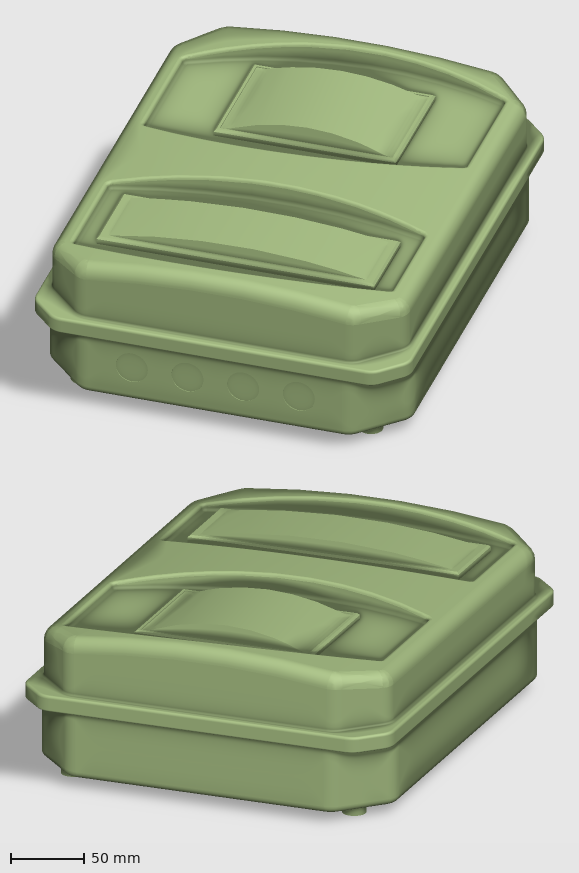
import cadquery as cq
import math

FOOT_HEIGHT = 6.0
PARTING_Z = 57.3
FLANGE_BOTTOM_Z = 54.6
FLANGE_TOP_Z = 66.0
CROWN_Z = 112.8
POCKET_FLOOR_Z = 98.6

FLANGE_OUTLINE = (271.0, 344.0, 20.6)
BASE_OUTLINE = (262.0, 332.6, 34.0)
LID_OUTLINE = (256.5, 329.6, 29.5)
OUTLINE_CORNER_RADIUS = 14.0

BASE_BOTTOM_RADIUS = 5.0
BASE_FLANGE_RADIUS = 1.2
LID_FLANGE_RADIUS = 2.0
WALL_FOOT_RADIUS = 1.5
LID_SHOULDER_RADIUS = 10.0
CROWN_RADIUS = 700.0

FOOT_DIAMETER = 17.0
FOOT_X = 103.5
FOOT_Y = 140.0

KNOCKOUT_DIAMETER = 23.0
KNOCKOUT_PITCH = 40.0
KNOCKOUT_COUNT = 4
KNOCKOUT_Z = 32.7
KNOCKOUT_DEPTH = 0.5

POCKET_LIP_RADIUS = 2.4
POCKET_FLOOR_RADIUS = 2.5
POCKET_CORNER_RADIUS = 4.0
POCKET_LIP_HALF_WIDTH = 115.7
POCKET_HALF_WIDTH = POCKET_LIP_HALF_WIDTH - POCKET_LIP_RADIUS
METER_Y = 78.5
METER_ARC_OFFSET_X = 17.0
METER_LIP_REACH = 73.0
METER_ARC_REACH = METER_LIP_REACH - POCKET_LIP_RADIUS
METER_ARC_RADIUS = 268.0
BREAKER_LIP_TOP_Y = -30.9
BREAKER_TOP_APEX = (5.0, BREAKER_LIP_TOP_Y - POCKET_LIP_RADIUS)
BREAKER_TOP_RADIUS = 387.0
BREAKER_LIP_BOTTOM_Y = -150.0
BREAKER_BOTTOM_APEX = (-11.5, BREAKER_LIP_BOTTOM_Y + POCKET_LIP_RADIUS)
BREAKER_BOTTOM_RADIUS = 344.0

METER_FRAME = (131.0, 89.4)
METER_FRAME_TOP_Z = 103.2
METER_PANE = (124.0, 82.4)
METER_PANE_TOP_Z = 102.5
METER_PANE_BOTTOM_Z = 97.0
METER_DOME_LENGTH = 79.2
METER_DOME_TOP_Z = 113.6
METER_DOME_RADIUS = 150.0
METER_DOME_BLEND_RADIUS = 20.0

BREAKER_Y = -92.0
BREAKER_PLINTH = (199.6, 59.6)
BREAKER_PLINTH_TOP_Z = 103.9
BREAKER_DOME = (185.0, 50.5)
BREAKER_DOME_TOP_Z = 112.3

FRAME_EDGE_CHAMFER = 1.5
DOME_END_DRAFT = 8.0

OVERRUN = 1.0


def octagon_prism(outline, z_bottom, z_top):
    """Rectangular prism with 45 degree corner chamfers and rounded upright edges."""
    size_x, size_y, chamfer = outline
    return (
        cq.Workplane("XY", origin=(0, 0, z_bottom))
        .rect(size_x, size_y)
        .extrude(z_top - z_bottom)
        .edges("|Z")
        .chamfer(chamfer)
        .edges("|Z")
        .fillet(OUTLINE_CORNER_RADIUS)
    )


def round_wall_foot(shell, z_level, outline):
    """Concave rounding where an upright wall meets the flange face at z_level."""
    margin = 0.5
    size_x, size_y, _ = outline
    around_wall = cq.selectors.BoxSelector(
        (-size_x / 2 - margin, -size_y / 2 - margin, z_level - margin),
        (size_x / 2 + margin, size_y / 2 + margin, z_level + margin),
        boundingbox=True,
    )
    return shell.edges(around_wall).fillet(WALL_FOOT_RADIUS)


def make_base():
    tub = octagon_prism(BASE_OUTLINE, FOOT_HEIGHT, PARTING_Z)
    tub = tub.faces("<Z").edges().fillet(BASE_BOTTOM_RADIUS)
    flange = octagon_prism(FLANGE_OUTLINE, FLANGE_BOTTOM_Z, PARTING_Z)
    flange = flange.faces("<Z").edges().fillet(BASE_FLANGE_RADIUS)
    base = round_wall_foot(tub.union(flange), FLANGE_BOTTOM_Z, BASE_OUTLINE)

    foot_places = [(sx * FOOT_X, sy * FOOT_Y) for sx in (-1, 1) for sy in (-1, 1)]
    feet = cq.Workplane("XY").pushPoints(foot_places).circle(FOOT_DIAMETER / 2).extrude(FOOT_HEIGHT)
    base = base.union(feet)

    knockouts = (
        cq.Workplane("XZ", origin=(0, -BASE_OUTLINE[1] / 2, KNOCKOUT_Z))
        .rarray(KNOCKOUT_PITCH, 1, KNOCKOUT_COUNT, 1)
        .circle(KNOCKOUT_DIAMETER / 2)
        .extrude(-KNOCKOUT_DEPTH)
    )
    return base.cut(knockouts)


def y_on_arc(x, apex, radius, bulge):
    """Y at x of the arc with the given apex; bulge is +1 for an arc curving up to +Y, -1 to -Y."""
    return apex[1] - bulge * (radius - math.sqrt(radius**2 - (x - apex[0]) ** 2))


def pocket_cutter(top_apex, top_radius, bottom_apex, bottom_radius):
    """Tool for a pocket with straight X sides and bowed Y sides, rounded at its floor."""
    left, right = -POCKET_HALF_WIDTH, POCKET_HALF_WIDTH
    return (
        cq.Workplane("XY", origin=(0, 0, POCKET_FLOOR_Z))
        .moveTo(left, y_on_arc(left, bottom_apex, bottom_radius, -1))
        .threePointArc(bottom_apex, (right, y_on_arc(right, bottom_apex, bottom_radius, -1)))
        .lineTo(right, y_on_arc(right, top_apex, top_radius, 1))
        .threePointArc(top_apex, (left, y_on_arc(left, top_apex, top_radius, 1)))
        .close()
        .extrude(2 * (CROWN_Z - POCKET_FLOOR_Z))
        .edges("|Z")
        .fillet(POCKET_CORNER_RADIUS)
        .faces("<Z")
        .edges()
        .fillet(POCKET_FLOOR_RADIUS)
    )


def rectangular_block(size, y_center, z_bottom, z_top, taper=0.0):
    return (
        cq.Workplane("XY", origin=(0, y_center, z_bottom))
        .rect(*size)
        .extrude(z_top - z_bottom, taper=taper)
    )


def crowned_lid_body():
    """Lid shell with its cylindrical crown and rounded shoulder, before the pockets."""
    body = octagon_prism(LID_OUTLINE, PARTING_Z, CROWN_Z + OVERRUN)
    crown = (
        cq.Workplane("XZ")
        .center(0, CROWN_Z - CROWN_RADIUS)
        .circle(CROWN_RADIUS)
        .extrude(LID_OUTLINE[1], both=True)
    )
    body = body.intersect(crown)
    body = body.faces(">Z").edges().fillet(LID_SHOULDER_RADIUS)
    flange = octagon_prism(FLANGE_OUTLINE, PARTING_Z, FLANGE_TOP_Z)
    flange = flange.faces(">Z").edges().fillet(LID_FLANGE_RADIUS)
    return round_wall_foot(body.union(flange), FLANGE_TOP_Z, LID_OUTLINE)


def cut_pockets(lid):
    meter_pocket = pocket_cutter(
        (METER_ARC_OFFSET_X, METER_Y + METER_ARC_REACH),
        METER_ARC_RADIUS,
        (-METER_ARC_OFFSET_X, METER_Y - METER_ARC_REACH),
        METER_ARC_RADIUS,
    )
    breaker_pocket = pocket_cutter(
        BREAKER_TOP_APEX, BREAKER_TOP_RADIUS, BREAKER_BOTTOM_APEX, BREAKER_BOTTOM_RADIUS
    )
    lid = lid.cut(meter_pocket).cut(breaker_pocket)
    reach = POCKET_HALF_WIDTH + OVERRUN
    rim_zone = cq.selectors.BoxSelector(
        (-reach, -LID_OUTLINE[1] / 2, POCKET_FLOOR_Z + POCKET_FLOOR_RADIUS),
        (reach, LID_OUTLINE[1] / 2, CROWN_Z + OVERRUN),
        boundingbox=True,
    )
    rims = lid.edges(rim_zone).edges("not |Z")
    return rims.fillet(POCKET_LIP_RADIUS)


def meter_frame():
    frame = rectangular_block(METER_FRAME, METER_Y, POCKET_FLOOR_Z, METER_FRAME_TOP_Z)
    return frame.faces(">Z").edges().chamfer(FRAME_EDGE_CHAMFER)


def breaker_cover():
    plinth = rectangular_block(BREAKER_PLINTH, BREAKER_Y, POCKET_FLOOR_Z, BREAKER_PLINTH_TOP_Z)
    plinth = plinth.faces(">Z").edges().chamfer(FRAME_EDGE_CHAMFER)
    half_width = BREAKER_DOME[0] / 2
    arch = (
        cq.Workplane("XZ", origin=(0, BREAKER_Y, 0))
        .moveTo(-half_width, BREAKER_PLINTH_TOP_Z)
        .threePointArc((0, BREAKER_DOME_TOP_Z), (half_width, BREAKER_PLINTH_TOP_Z))
        .close()
        .extrude(BREAKER_DOME[1], both=True)
    )
    drafted_ends = rectangular_block(
        (2 * BREAKER_DOME[0], BREAKER_DOME[1]),
        BREAKER_Y,
        BREAKER_PLINTH_TOP_Z,
        BREAKER_DOME_TOP_Z + OVERRUN,
        DOME_END_DRAFT,
    )
    return plinth.union(arch.intersect(drafted_ends))


def make_lid():
    lid = cut_pockets(crowned_lid_body())
    lid = lid.union(meter_frame()).union(breaker_cover())
    pane_seat = rectangular_block(METER_PANE, METER_Y, METER_PANE_BOTTOM_Z, METER_FRAME_TOP_Z)
    return lid.cut(pane_seat)


def make_meter_window():
    """Pane with a cylindrical dome that runs into the flat margin through concave blends."""
    pane = rectangular_block(METER_PANE, METER_Y, METER_PANE_BOTTOM_Z, METER_PANE_TOP_Z)

    dome_center_z = METER_DOME_TOP_Z - METER_DOME_RADIUS
    blend_center_z = METER_PANE_TOP_Z + METER_DOME_BLEND_RADIUS
    center_distance = METER_DOME_RADIUS + METER_DOME_BLEND_RADIUS
    tilt = math.acos((blend_center_z - dome_center_z) / center_distance)
    blend_center_x = center_distance * math.sin(tilt)
    dome_edge_x = METER_DOME_RADIUS * math.sin(tilt)
    dome_edge_z = dome_center_z + METER_DOME_RADIUS * math.cos(tilt)
    blend_mid_x = blend_center_x - METER_DOME_BLEND_RADIUS * math.sin(tilt / 2)
    blend_mid_z = blend_center_z - METER_DOME_BLEND_RADIUS * math.cos(tilt / 2)

    dome = (
        cq.Workplane("XZ", origin=(0, METER_Y, 0))
        .moveTo(-blend_center_x, METER_PANE_TOP_Z)
        .threePointArc((-blend_mid_x, blend_mid_z), (-dome_edge_x, dome_edge_z))
        .threePointArc((0, METER_DOME_TOP_Z), (dome_edge_x, dome_edge_z))
        .threePointArc((blend_mid_x, blend_mid_z), (blend_center_x, METER_PANE_TOP_Z))
        .close()
        .extrude(METER_DOME_LENGTH, both=True)
    )
    drafted_ends = rectangular_block(
        (2 * METER_PANE[0], METER_DOME_LENGTH),
        METER_Y,
        METER_PANE_TOP_Z,
        METER_DOME_TOP_Z + OVERRUN,
        DOME_END_DRAFT,
    )
    return pane.union(dome.intersect(drafted_ends))


base = make_base()
lid = make_lid()
meter_window = make_meter_window()

result = cq.Compound.makeCompound([base.val(), lid.val(), meter_window.val()])